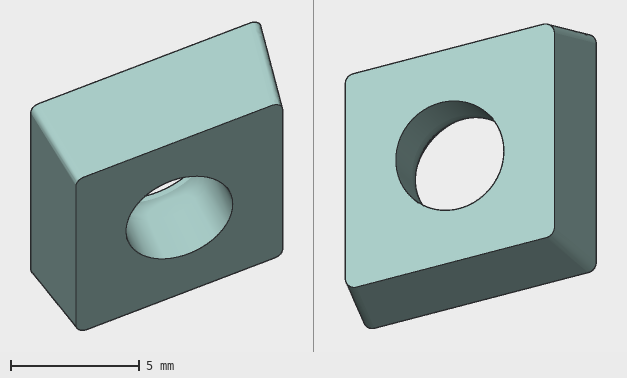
import cadquery as cq
import math

thickness = 3.96
inscribed_diameter = 9.52
lean_angle = 10.0
clearance_angle = 7.0
corner_radius = 0.4

bore_radius = 2.21
mouth_radius = 2.69
seat_radius = 2.62
mouth_depth = 0.34
seat_end_depth = 1.76


def rhombus_corners(half_width):
    """Corners, as (Y, Z), of a rhombus with two vertical sides."""
    lean = math.radians(lean_angle)
    middle_height = half_width / math.cos(lean)
    rise = half_width * math.tan(lean)
    return [
        (-half_width, -middle_height - rise),
        (half_width, -middle_height + rise),
        (half_width, middle_height + rise),
        (-half_width, middle_height - rise),
    ]


def make_body():
    large_half = inscribed_diameter / 2
    small_half = large_half - thickness * math.tan(math.radians(clearance_angle))
    body = (
        cq.Workplane("YZ")
        .polyline(rhombus_corners(large_half)).close()
        .workplane(offset=thickness)
        .polyline(rhombus_corners(small_half)).close()
        .loft(ruled=True, combine=True)
    )
    return body.edges("not(<X or >X)").fillet(corner_radius)


def make_screw_hole():
    seat_length = seat_end_depth - mouth_depth
    seat_drop = seat_radius - bore_radius
    arc_radius = (seat_length**2 + seat_drop**2) / (2 * seat_drop)
    half_angle = math.asin(seat_length / arc_radius) / 2
    seat_middle = (
        seat_end_depth - arc_radius * math.sin(half_angle),
        bore_radius + arc_radius * (1 - math.cos(half_angle)),
    )
    return (
        cq.Workplane("XY")
        .moveTo(0, 0)
        .lineTo(0, mouth_radius)
        .lineTo(mouth_depth, seat_radius)
        .threePointArc(seat_middle, (seat_end_depth, bore_radius))
        .lineTo(thickness, bore_radius)
        .lineTo(thickness, 0)
        .close()
        .revolve(360, (0, 0, 0), (1, 0, 0))
    )


result = make_body().cut(make_screw_hole())